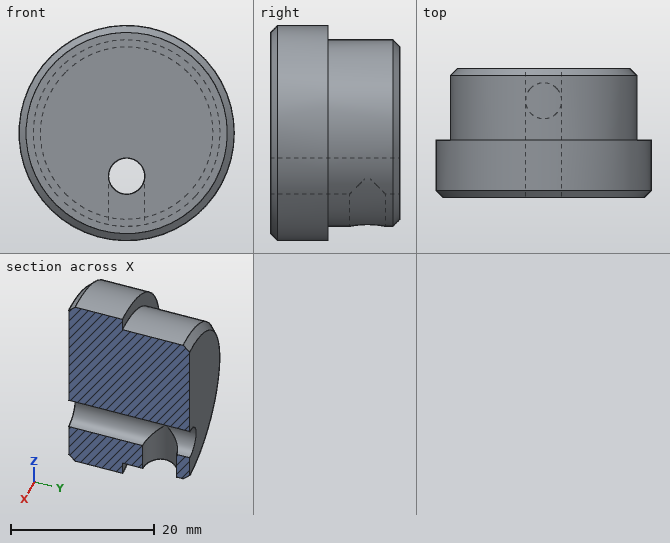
import cadquery as cq

flange_diameter = 30.0
flange_length = 8.0
total_length = 18.0
spigot_diameter = 26.0
edge_chamfer = 1.0

hole_diameter = 5.0
hole_drop = 6.0

radial_hole_diameter = 5.0
radial_hole_y = total_length - 4.5


def cylinder_along_y(diameter, y_start, length, z_centre=0.0):
    plane = cq.Workplane("XZ", origin=(0, y_start, z_centre))
    return plane.circle(diameter / 2).extrude(-length)


flange = cylinder_along_y(flange_diameter, 0, flange_length).faces("<Y").chamfer(edge_chamfer)
spigot = cylinder_along_y(spigot_diameter, 0, total_length).faces(">Y").chamfer(edge_chamfer)
axial_hole = cylinder_along_y(hole_diameter, 0, total_length, -hole_drop)

radial_hole = (
    cq.Workplane("XY", origin=(0, radial_hole_y, -flange_diameter / 2))
    .circle(radial_hole_diameter / 2)
    .extrude(flange_diameter / 2 - hole_drop)
)

result = flange.union(spigot).cut(axial_hole).cut(radial_hole)